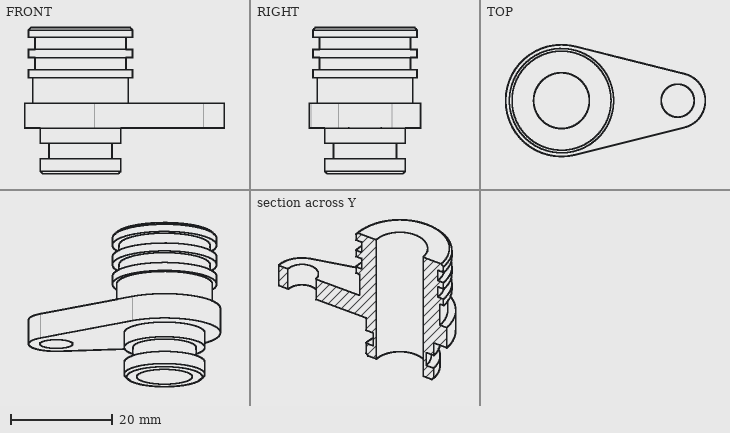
import cadquery as cq
import math

overall_length = 39.6
flange_radius = 11.1
ear_radius = 5.5
ear_distance = overall_length - flange_radius - ear_radius
ear_hole_radius = 3.25
flange_thickness = 5.0

spigot_radius = 8.0
neck_radius = 6.25
spigot_step = 3.0

body_radius = 9.5
body_height = 5.0
ring_radius = 10.35
ring_groove_radius = 9.05
lower_ring_count = 2
ring_height = 1.62
ring_groove_height = 2.38
top_ring_height = 2.0

bore_radius = 5.5
edge_chamfer = 0.5

flange_bottom = 3 * spigot_step
flange_top = flange_bottom + flange_thickness


def stack_cylinders(base_z, sections):
    """Stack coaxial cylinders, given as (radius, height) from the bottom up."""
    stack = cq.Workplane("XY")
    z = base_z
    for radius, height in sections:
        section = cq.Workplane("XY").workplane(offset=z).circle(radius).extrude(height)
        stack = stack.add(section)
        z += height
    return stack.combine()


def make_flange():
    """Plate whose straight sides are tangent to the main round and the ear."""
    tangent_cos = (flange_radius - ear_radius) / ear_distance
    tangent_sin = math.sqrt(1 - tangent_cos**2)
    main_x = flange_radius * tangent_cos
    main_y = flange_radius * tangent_sin
    ear_x = ear_distance + ear_radius * tangent_cos
    ear_y = ear_radius * tangent_sin
    return (
        cq.Workplane("XY")
        .workplane(offset=flange_bottom)
        .moveTo(main_x, main_y)
        .threePointArc((-flange_radius, 0), (main_x, -main_y))
        .lineTo(ear_x, -ear_y)
        .threePointArc((ear_distance + ear_radius, 0), (ear_x, ear_y))
        .close()
        .extrude(flange_thickness)
        .faces(">Z")
        .workplane(origin=(ear_distance, 0, flange_top))
        .hole(2 * ear_hole_radius)
    )


def make_spigot():
    """Spigot with one groove and a chamfered lower edge."""
    sections = [
        (spigot_radius, spigot_step),
        (neck_radius, spigot_step),
        (spigot_radius, spigot_step),
    ]
    return stack_cylinders(0, sections).faces("<Z").edges().chamfer(edge_chamfer)


def make_plug():
    """Plain body topped by three rings, with a chamfered upper edge."""
    sections = [(body_radius, body_height)]
    for _ in range(lower_ring_count):
        sections.append((ring_radius, ring_height))
        sections.append((ring_groove_radius, ring_groove_height))
    sections.append((ring_radius, top_ring_height))
    return stack_cylinders(flange_top, sections).faces(">Z").edges().chamfer(edge_chamfer)


solid_part = make_spigot().union(make_flange()).union(make_plug())
result = solid_part.faces(">Z").workplane(origin=(0, 0, 0)).hole(2 * bore_radius)